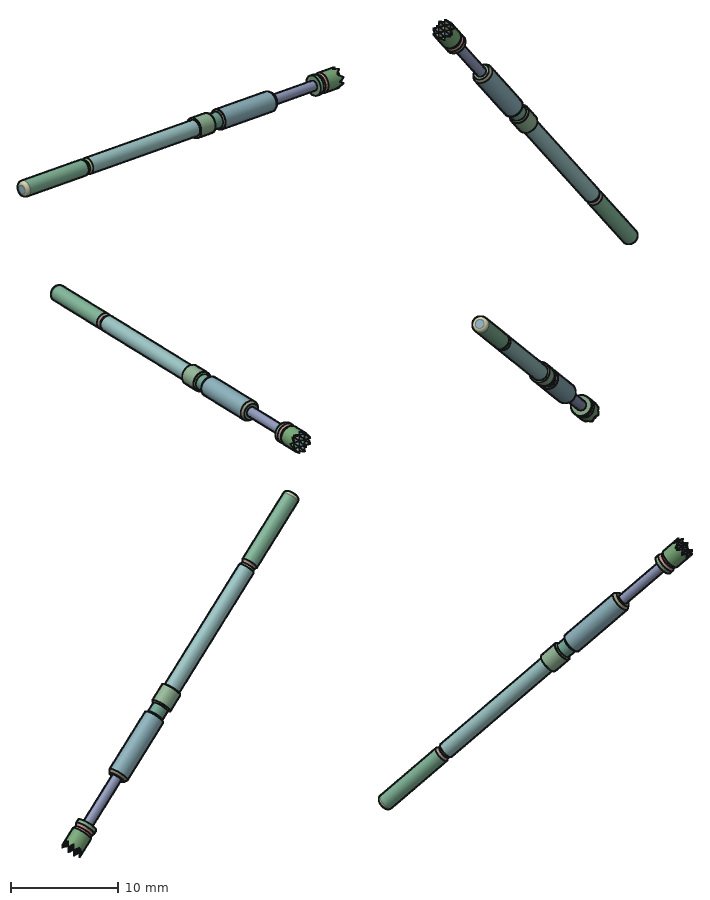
import cadquery as cq
import math

overall_length = 40.3

head_radius = 1.0
head_groove_radius = 0.88
plunger_radius = 0.5
barrel_radius = 0.8
sleeve_radius = 1.0
collar_radius = 1.0
tail_groove_radius = 0.66
tail_rounding = 0.37
neck_chamfer = 0.15

head_groove_start = 2.0
head_groove_bottom = 2.27
head_groove_end = 2.6
head_end = 3.0
sleeve_start = 8.35
sleeve_full = 8.66
sleeve_end = 15.15
collar_start = 16.42
collar_end = 18.25
tail_groove_start = 31.88
tail_groove_bottom = 32.15
tail_groove_end = 32.48

teeth_per_side = 4
tooth_pitch = 0.61
tooth_angle = 60
tooth_depth = tooth_pitch / 2 / math.tan(math.radians(tooth_angle / 2))


def sweep_radius(length, rise):
    """Radius of an arc that starts parallel to the axis and rises by `rise` over `length`."""
    return (length**2 + rise**2) / (2 * rise)


def make_turned_body():
    """Revolve the half profile about Y, centred on the origin along its length."""
    front = overall_length / 2

    def at(radius, station):
        return (radius, front - station)

    rounding_bow = tail_rounding * (1 - math.sqrt(0.5))
    head_groove_curve = sweep_radius(head_groove_end - head_groove_bottom, head_radius - head_groove_radius)
    tail_groove_curve = sweep_radius(tail_groove_end - tail_groove_bottom, barrel_radius - tail_groove_radius)
    profile = (
        cq.Workplane("XY")
        .moveTo(*at(0, 0))
        .lineTo(*at(head_radius, 0))
        .lineTo(*at(head_radius, head_groove_start))
        .lineTo(*at(head_groove_radius, head_groove_bottom))
        .radiusArc(at(head_radius, head_groove_end), -head_groove_curve)
        .lineTo(*at(head_radius, head_end))
        .lineTo(*at(plunger_radius, head_end))
        .lineTo(*at(plunger_radius, sleeve_start))
        .lineTo(*at(barrel_radius, sleeve_start))
        .lineTo(*at(sleeve_radius, sleeve_full))
        .lineTo(*at(sleeve_radius, sleeve_end))
        .lineTo(*at(barrel_radius + neck_chamfer, sleeve_end))
        .lineTo(*at(barrel_radius, sleeve_end + neck_chamfer))
        .lineTo(*at(barrel_radius, collar_start - neck_chamfer))
        .lineTo(*at(barrel_radius + neck_chamfer, collar_start))
        .lineTo(*at(collar_radius, collar_start))
        .lineTo(*at(collar_radius, collar_end))
        .lineTo(*at(barrel_radius, collar_end))
        .lineTo(*at(barrel_radius, tail_groove_start))
        .lineTo(*at(tail_groove_radius, tail_groove_bottom))
        .radiusArc(at(barrel_radius, tail_groove_end), -tail_groove_curve)
        .lineTo(*at(barrel_radius, overall_length - tail_rounding))
        .threePointArc(
            at(barrel_radius - rounding_bow, overall_length - rounding_bow),
            at(barrel_radius - tail_rounding, overall_length),
        )
        .lineTo(*at(0, overall_length))
        .close()
    )
    return profile.revolve(360, (0, 0, 0), (0, 1, 0))


def make_tooth_gap(offset):
    """V-shaped groove along Z, centred at x = offset, with its mouth at the crown tips."""
    front = overall_length / 2
    half_pitch = tooth_pitch / 2
    return (
        cq.Workplane("XY")
        .moveTo(offset - half_pitch, front)
        .lineTo(offset, front - tooth_depth)
        .lineTo(offset + half_pitch, front)
        .close()
        .extrude(2 * head_radius, both=True)
    )


def cut_crown(body):
    """Cut the gaps between and outside the teeth in both directions across the head."""
    for index in range(teeth_per_side + 1):
        gap = make_tooth_gap((index - teeth_per_side / 2) * tooth_pitch)
        body = body.cut(gap)
        body = body.cut(gap.rotate((0, 0, 0), (0, 1, 0), 90))
    return body


result = cut_crown(make_turned_body())